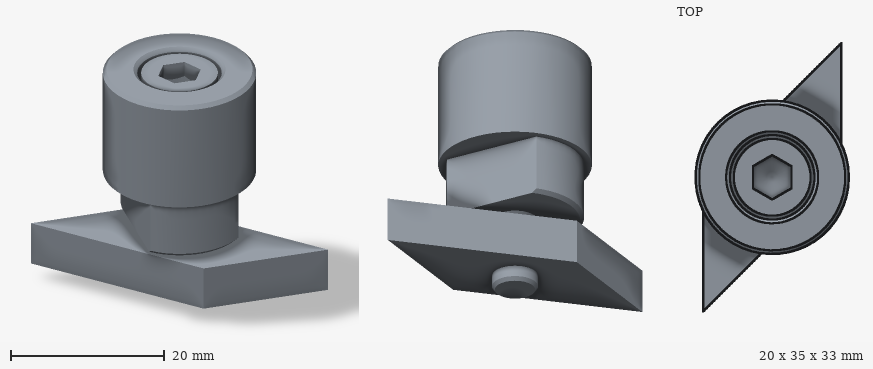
import cadquery as cq
import math

tip_length = 2.0
plate_thickness = 6.0
plate_gap = 2.0
boss_height = 8.0
barrel_height = 15.0

plate_bottom = tip_length
plate_top = plate_bottom + plate_thickness
boss_bottom = plate_top + plate_gap
barrel_bottom = boss_bottom + boss_height
housing_top = barrel_bottom + barrel_height

barrel_diameter = 20.0
boss_diameter = 18.0
boss_width_over_flats = 12.0
bore_diameter = 11.0
edge_chamfer = 0.5

shank_diameter = 6.0
tip_chamfer = 0.5
tip_chamfer_inset = 0.4
head_diameter = 10.0
head_height = 6.0
head_top = housing_top - edge_chamfer
head_bottom = head_top - head_height

socket_width = 5.0
socket_corner_radius = socket_width / 2 / math.cos(math.radians(30))
socket_corner_depth = 2.1
drill_point_angle = 120
drill_point_depth = socket_corner_radius / math.tan(math.radians(drill_point_angle / 2))

plate_width = boss_diameter
plate_length = 34.97
plate_side = plate_length - plate_width


def cylinder(diameter, bottom, top):
    return cq.Workplane("XY").workplane(offset=bottom).circle(diameter / 2).extrude(top - bottom)


def make_housing():
    barrel = cylinder(barrel_diameter, barrel_bottom, housing_top).faces(">Z").chamfer(edge_chamfer)
    boss = cylinder(boss_diameter, boss_bottom, barrel_bottom).faces("<Z").chamfer(edge_chamfer)
    flats = (
        cq.Workplane("XY")
        .workplane(offset=boss_bottom)
        .rect(boss_diameter, boss_width_over_flats)
        .extrude(boss_height)
    )
    housing = barrel.union(boss.intersect(flats))

    housing = housing.cut(cylinder(shank_diameter, boss_bottom, head_bottom))
    housing = housing.cut(cylinder(bore_diameter, head_bottom, housing_top))
    bore_rim = cq.selectors.RadiusNthSelector(0)
    return housing.faces(">Z").edges(bore_rim).chamfer(edge_chamfer)


def make_socket():
    hexagon = (
        cq.Workplane("XY")
        .workplane(offset=head_top)
        .polygon(6, 2 * socket_corner_radius)
        .extrude(-socket_corner_depth - drill_point_depth)
        .rotate((0, 0, 0), (0, 0, 1), 30)
    )
    corner_level = head_top - socket_corner_depth
    drill = (
        cq.Workplane("XZ")
        .moveTo(0, corner_level - drill_point_depth)
        .lineTo(socket_corner_radius, corner_level)
        .lineTo(socket_corner_radius, head_top)
        .lineTo(0, head_top)
        .close()
        .revolve(360, (0, 0, 0), (0, 1, 0))
    )
    return hexagon.intersect(drill)


def make_plate():
    half_width = plate_width / 2
    half_length = plate_length / 2
    return (
        cq.Workplane("XY")
        .workplane(offset=plate_bottom)
        .moveTo(-half_width, -half_length)
        .lineTo(half_width, plate_width - half_length)
        .lineTo(half_width, half_length)
        .lineTo(-half_width, plate_side - half_length)
        .close()
        .extrude(plate_thickness)
    )


def make_clamp_screw():
    """Cap screw and the clamping plate it carries, as one body."""
    shank = cylinder(shank_diameter, 0, head_bottom)
    shank = shank.faces("<Z").chamfer(tip_chamfer, tip_chamfer_inset)
    head = cylinder(head_diameter, head_bottom, head_top)
    return shank.union(head).cut(make_socket()).union(make_plate())


housing = make_housing()
clamp_screw = make_clamp_screw()

result = cq.Compound.makeCompound([housing.val(), clamp_screw.val()])